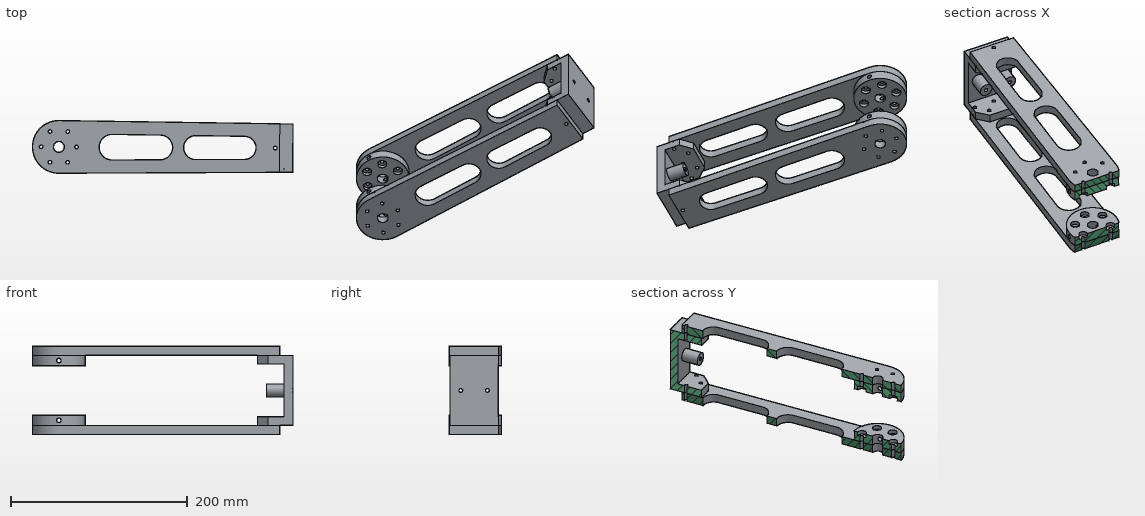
import cadquery as cq
import math

total_height = 100.0
hub_diameter = 60.0
hub_radius = hub_diameter / 2
back_distance = 265.0
yaw_angle = -0.3

arm_thickness = 10.3
arm_length = 250.0
taper_angle = 0.54
slot_margin = 15.0
slot_spans = [(45.7, 128.7), (141.5, 223.0)]
taper_sine = math.sin(math.radians(taper_angle))
taper_cosine = math.cos(math.radians(taper_angle))

disc_thickness = 11.8
bore_diameter = 12.0
bolt_count = 6
bolt_circle_radius = 20.0
bolt_hole_diameter = 3.8
counterbore_diameter = 10.0
counterbore_depth = 4.7
cross_hole_diameter = 5.0

bracket_width = 55.0
bracket_wall = 10.0
bracket_length = 40.0
bracket_height = total_height - 2 * arm_thickness
flange_chamfer = 12.0
mount_hole_diameter = 3.8
mount_hole_inset = 20.0
mount_hole_pitch = 12.0
post_diameter = 15.0
post_length = 20.0
post_spacing = 30.0
post_hole_diameter = 4.0

wall_front = back_distance - bracket_wall
mount_hole_x = back_distance - mount_hole_inset
arm_bottom = total_height / 2 - arm_thickness
disc_bottom = arm_bottom - disc_thickness
bolt_points = [
    (
        bolt_circle_radius * math.cos(2 * math.pi * i / bolt_count),
        bolt_circle_radius * math.sin(2 * math.pi * i / bolt_count),
    )
    for i in range(bolt_count)
]


def tapered_radius(x, margin):
    """Radius of a circle centred at x that stays the margin away from both long edges."""
    return hub_radius - margin - x * taper_sine


def tapered_slot(start, end):
    """Round-ended slot whose sides run parallel to the tapered arm edges."""
    slot_radius = hub_radius - slot_margin
    front_center = (start + slot_radius) / (1 + taper_sine)
    rear_center = (end - slot_radius) / (1 - taper_sine)
    front_radius = tapered_radius(front_center, slot_margin)
    rear_radius = tapered_radius(rear_center, slot_margin)
    front_x = front_center + front_radius * taper_sine
    rear_x = rear_center + rear_radius * taper_sine
    front_y = front_radius * taper_cosine
    rear_y = rear_radius * taper_cosine
    return (
        cq.Workplane("XY", origin=(0, 0, arm_bottom))
        .moveTo(front_x, front_y)
        .threePointArc((start, 0), (front_x, -front_y))
        .lineTo(rear_x, -rear_y)
        .threePointArc((end, 0), (rear_x, rear_y))
        .close()
        .extrude(arm_thickness)
    )


def make_arm():
    """Upper arm: tapered plate rounded about the hub, with two slots and its screw holes."""
    tangent_x = hub_radius * taper_sine
    tangent_y = hub_radius * taper_cosine
    end_y = tapered_radius(arm_length, 0) / taper_cosine
    arm = (
        cq.Workplane("XY", origin=(0, 0, arm_bottom))
        .moveTo(tangent_x, tangent_y)
        .threePointArc((-hub_radius, 0), (tangent_x, -tangent_y))
        .lineTo(arm_length, -end_y)
        .lineTo(arm_length, end_y)
        .close()
        .extrude(arm_thickness)
    )
    for start, end in slot_spans:
        arm = arm.cut(tapered_slot(start, end))
    arm = arm.faces(">Z").workplane(origin=(0, 0, 0)).hole(bore_diameter)
    arm = arm.faces(">Z").workplane(origin=(0, 0, 0)).pushPoints(bolt_points).hole(bolt_hole_diameter)
    return arm.faces(">Z").workplane(origin=(mount_hole_x, 0, 0)).hole(mount_hole_diameter)


def make_disc():
    """Upper hub disc: bore, counterbored bolt circle and a cross hole along Y."""
    disc = (
        cq.Workplane("XY", origin=(0, 0, disc_bottom))
        .circle(hub_radius)
        .circle(bore_diameter / 2)
        .extrude(disc_thickness)
    )
    disc = (
        disc.faces("<Z")
        .workplane(origin=(0, 0, 0))
        .pushPoints(bolt_points)
        .cboreHole(bolt_hole_diameter, counterbore_diameter, counterbore_depth)
    )
    cross_hole = (
        cq.Workplane("XZ", origin=(0, 0, disc_bottom + disc_thickness / 2))
        .circle(cross_hole_diameter / 2)
        .extrude(hub_radius, both=True)
    )
    return disc.cut(cross_hole)


def make_bracket():
    """U-shaped bracket joining the arms, with two drilled posts on the inside of its wall."""
    inner_height = bracket_height - 2 * bracket_wall
    bracket = (
        cq.Workplane("XY")
        .box(bracket_length, bracket_width, bracket_height)
        .edges("|Z and <X")
        .chamfer(flange_chamfer)
        .translate((back_distance - bracket_length / 2, 0, 0))
    )
    opening = (
        cq.Workplane("XY")
        .box(bracket_length, bracket_width, inner_height)
        .translate((wall_front - bracket_length / 2, 0, 0))
    )
    bracket = bracket.cut(opening)

    post_points = [(-post_spacing / 2, 0), (post_spacing / 2, 0)]
    posts = (
        cq.Workplane("YZ", origin=(wall_front - post_length, 0, 0))
        .pushPoints(post_points)
        .circle(post_diameter / 2)
        .extrude(post_length)
    )
    post_holes = (
        cq.Workplane("YZ", origin=(wall_front - post_length, 0, 0))
        .pushPoints(post_points)
        .circle(post_hole_diameter / 2)
        .extrude(post_length + bracket_wall)
    )

    rear_row = [(mount_hole_x, side * 2 * mount_hole_pitch) for side in (-1, 0, 1)]
    front_row = [(mount_hole_x - mount_hole_pitch, side * mount_hole_pitch) for side in (-1, 1)]
    mount_holes = (
        cq.Workplane("XY", origin=(0, 0, -bracket_height / 2))
        .pushPoints(rear_row + front_row)
        .circle(mount_hole_diameter / 2)
        .extrude(bracket_height)
    )
    return bracket.cut(mount_holes).union(posts).cut(post_holes)


def turned(body):
    """Turn a body about the hub axis into its final direction."""
    return body.rotate((0, 0, 0), (0, 0, 1), yaw_angle)


upper_arm = turned(make_arm())
upper_disc = turned(make_disc())
bracket = turned(make_bracket())

bodies = [bracket.val()]
for upper_body in (upper_arm, upper_disc):
    bodies.append(upper_body.val())
    bodies.append(upper_body.mirror("XY").val())

result = cq.Compound.makeCompound(bodies)